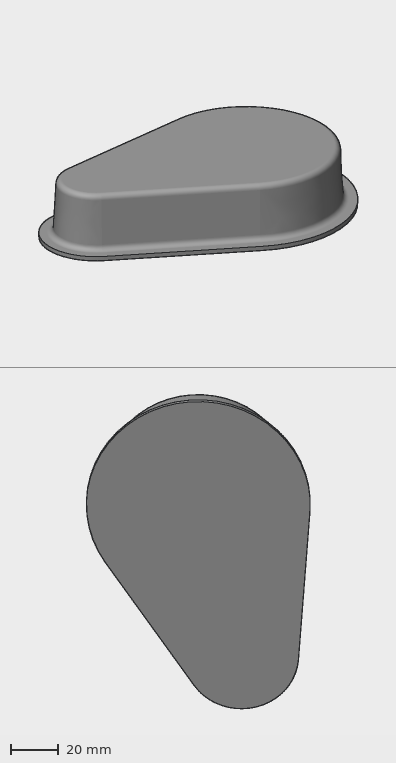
import cadquery as cq
import math

large_radius = 47.0
overall_length = 142.0
small_radius = 24.0
center_distance = overall_length - large_radius - small_radius
flange_thickness = 2.0

overall_height = 27.0
dome_height = overall_height - flange_thickness
dome_inset = 6.0
draft_angle = 3.0
foot_fillet = 2.5
top_fillet = 2.5


def teardrop(plane, inset):
    """Two arcs joined by their outer tangents, offset inward by inset.

    The large arc is centred on the origin and the small arc lies toward -Y.
    """
    large = large_radius - inset
    small = small_radius - inset
    tangent_angle = math.asin((large - small) / center_distance)
    across = math.cos(tangent_angle)
    along = math.sin(tangent_angle)
    return (
        plane.moveTo(large * across, -large * along)
        .threePointArc((0, large), (-large * across, -large * along))
        .lineTo(-small * across, -center_distance - small * along)
        .threePointArc((0, -center_distance - small), (small * across, -center_distance - small * along))
        .close()
    )


def make_flange():
    return teardrop(cq.Workplane("XY"), 0).extrude(flange_thickness)


def make_dome():
    foot_plane = cq.Workplane("XY").workplane(offset=flange_thickness)
    dome = teardrop(foot_plane, dome_inset).extrude(dome_height, taper=draft_angle)
    return dome.faces(">Z").edges().fillet(top_fillet)


def fillet_foot(body):
    """Round the inside corner where the dome wall meets the flange."""
    flange_top = body.faces("|Z").faces("<Z[1]")
    return flange_top.wires(cq.selectors.LengthNthSelector(0)).edges().fillet(foot_fillet)


result = fillet_foot(make_flange().union(make_dome()))